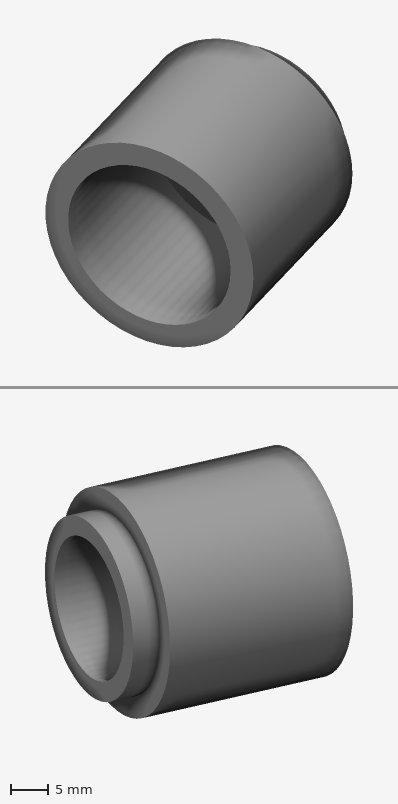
import cadquery as cq

body_diameter = 32
total_length = 31.85
spigot_diameter = 25.8
spigot_length = 4.0
through_diameter = 20.2
socket_diameter = 25.0

body_length = total_length - spigot_length
web_thickness = spigot_length
socket_depth = body_length - web_thickness


def cylinder_along_y(diameter, start, length):
    """Solid cylinder on the Y axis, growing toward +Y from start."""
    plane = cq.Plane(origin=(0, start, 0), xDir=(1, 0, 0), normal=(0, 1, 0))
    return cq.Workplane(plane).circle(diameter / 2).extrude(length)


body = cylinder_along_y(body_diameter, 0, body_length)
spigot = cylinder_along_y(spigot_diameter, body_length, spigot_length)

socket = cylinder_along_y(socket_diameter, 0, socket_depth)
through_hole = cylinder_along_y(through_diameter, 0, total_length)

result = body.union(spigot).cut(socket).cut(through_hole)